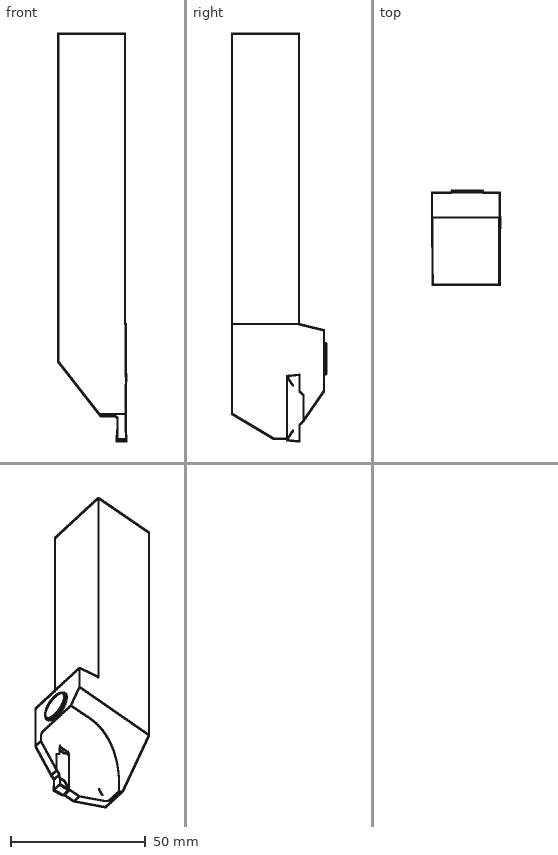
import cadquery as cq


total_height = 151.4
shank_width = 25.0
shank_depth = 25.0
head_width = 25.3
head_depth = 34.2
side_taper = 0.3
shoulder_inner_z = 43.6
shoulder_outer_z = 41.3
flank_top_z = 29.8
flank_end_x = 16.2
flank_end_z = 9.1
front_corner_z = 10.3

blade_thickness = 3.2
blade_left_x = head_width - blade_thickness
blade_bottom_z = 1.0
blade_front_y = 15.5
jaw_corner_z = 18.8

clearance_radius = 26.6
clearance_center_y = 25.0
clearance_top_z = 23.5
clearance_center_z = clearance_top_z - clearance_radius
clearance_fillet = 1.5

boss_diameter = 11.8
boss_height = 0.9
boss_chamfer = 0.5
boss_x = 13.2
boss_z = 30.7

insert_length = 24.8
insert_middle_z = insert_length / 2
insert_front_y = 20.5
insert_edge_y = 25.1
insert_crown_y = 26.5
insert_ramp_z = 6.2
insert_crown_z = 7.5
insert_relief = 0.5
tip_width = 3.8
tip_right_x = 25.6
tip_left_x = tip_right_x - tip_width
tip_length = 4.1
tip_front_y = 21.0
tip_corner_y = 22.7
tip_corner_z = 1.7
tip_side_relief = 0.2


def extrude_along_x(sketch, left_x, right_x):
    """Extrude a closed Y-Z outline between two X positions."""
    return sketch.extrude(right_x - left_x).translate((left_x, 0, 0))


def make_holder_blank():
    """Shank, head and blade: the common volume of a front and a side outline."""
    front_outline = (
        cq.Workplane("XZ")
        .polyline([
            (0, total_height),
            (shank_width, total_height),
            (shank_width, shoulder_inner_z),
            (head_width, shoulder_inner_z),
            (head_width, 0),
            (flank_end_x, 0),
            (flank_end_x, flank_end_z),
            (0, flank_top_z),
        ])
        .close()
        .extrude(-head_depth)
    )
    side_outline = cq.Workplane("YZ").polyline([
        (0, total_height),
        (shank_depth, total_height),
        (shank_depth, shoulder_inner_z),
        (head_depth, shoulder_outer_z),
        (head_depth, jaw_corner_z),
        (insert_crown_y, insert_crown_z),
        (insert_edge_y, insert_ramp_z),
        (insert_edge_y, blade_bottom_z),
        (blade_front_y, blade_bottom_z),
        (0, front_corner_z),
    ]).close()
    return front_outline.intersect(extrude_along_x(side_outline, 0, head_width))


def make_side_taper():
    """Thin wedge that makes the left face lean in toward the front."""
    return (
        cq.Workplane("XY")
        .polyline([(0, 0), (side_taper, 0), (0, head_depth)])
        .close()
        .extrude(total_height)
    )


def make_clearance():
    """Space left of the blade: flat ceiling at the back, round toward the front."""
    back_y = 2 * head_depth
    bottom_z = -clearance_radius
    outline = (
        cq.Workplane("YZ")
        .moveTo(back_y, bottom_z)
        .lineTo(back_y, clearance_top_z)
        .lineTo(clearance_center_y, clearance_top_z)
        .radiusArc((clearance_center_y - clearance_radius, clearance_center_z), -clearance_radius)
        .lineTo(clearance_center_y - clearance_radius, bottom_z)
        .close()
    )
    space = extrude_along_x(outline, 0, blade_left_x)
    return space.faces(">X").edges(">Z or %CIRCLE").fillet(clearance_fillet)


def make_boss():
    """Low round screw head with a chamfered rim on the back face."""
    return (
        cq.Workplane("XZ", origin=(boss_x, head_depth, boss_z))
        .circle(boss_diameter / 2)
        .extrude(-boss_height)
        .faces(">Y")
        .chamfer(boss_chamfer)
    )


def make_insert_tip():
    """Lower cutting end, widest at the cutting edge and tapering toward the middle."""
    outline = cq.Workplane("YZ").polyline([
        (insert_edge_y, 0),
        (tip_front_y, insert_relief),
        (tip_front_y, tip_corner_z),
        (tip_corner_y, tip_length),
        (insert_edge_y, tip_length),
    ]).close()
    plan = (
        cq.Workplane("XZ")
        .polyline([
            (tip_left_x, 0),
            (tip_right_x, 0),
            (head_width, tip_length),
            (tip_left_x + tip_side_relief, tip_length),
        ])
        .close()
        .extrude(-head_depth)
    )
    return extrude_along_x(outline, tip_left_x, tip_right_x).intersect(plan)


def make_insert():
    """Insert bar with a cutting tip at each end."""
    bar_outline = cq.Workplane("YZ").polyline([
        (insert_front_y, insert_relief),
        (insert_edge_y, 0),
        (insert_edge_y, insert_ramp_z),
        (insert_crown_y, insert_crown_z),
        (insert_crown_y, insert_length - insert_crown_z),
        (insert_edge_y, insert_length - insert_ramp_z),
        (insert_edge_y, insert_length),
        (insert_front_y, insert_length - insert_relief),
    ]).close()
    bar = extrude_along_x(bar_outline, blade_left_x, head_width)
    lower_tip = make_insert_tip()
    upper_tip = lower_tip.mirror("XY", (0, 0, insert_middle_z))
    return bar.union(lower_tip).union(upper_tip)


def make_holder(insert):
    """Tool holder with a pocket that matches the insert."""
    return (
        make_holder_blank()
        .cut(make_side_taper())
        .cut(make_clearance())
        .union(make_boss())
        .cut(insert)
    )


cutting_insert = make_insert()
holder = make_holder(cutting_insert)
result = cq.Compound.makeCompound([holder.val(), cutting_insert.val()])